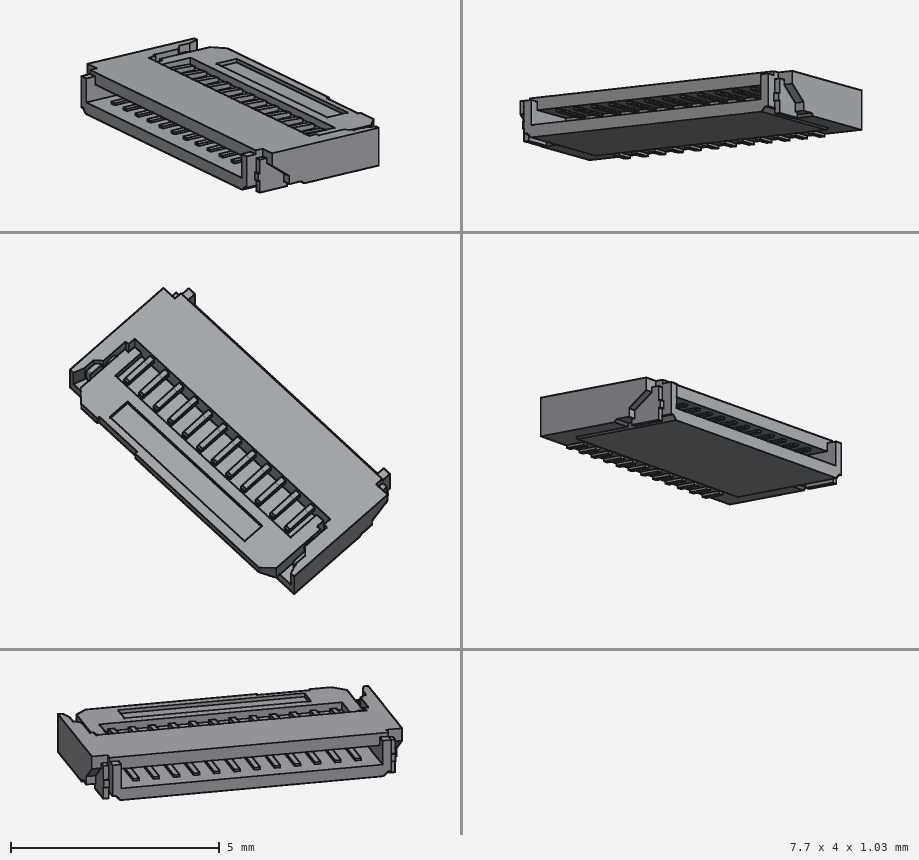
import cadquery as cq


LENGTH = 7.7
HEIGHT = 1.03
HOUSING_REAR_Y = 3.59
SHOULDER_FRONT_Y = 0.46
TOP_FRONT_Y = 0.26
SIDE_BASE_Z = 0.07

NOSE_LENGTH = 6.915
LIP_TOP_Z = 0.93
MOUTH_LENGTH = 6.48
MOUTH_DEPTH = 1.54
MOUTH_FLOOR_Z = 0.32
MOUTH_CEILING_Z = 0.72

KEEL_BASE_Z = 0.02
KEEL_BASE_LENGTH = 6.53
KEEL_REAR_Y = 2.925
CHAMFER_TOP_Z = 0.14

SHOULDER_RELIEF_REAR_Y = 0.97
SHOULDER_RELIEF_REAR_Z = 0.35
SHOULDER_RELIEF_FRONT_Z = 0.715
FOOT_RELIEF_BASE_Y = 1.4

POCKET_FRONT_Y = 1.9
POCKET_STEP_Y = 2.11
POCKET_FRONT_HALF_X = 3.36
POCKET_HALF_X = 3.46
FLARE_START_Y = 2.84
FLARE_HALF_X = 3.635
FLARE_FRONT_Y = 3.0
FLARE_REAR_Y = 3.3
FLARE_END_HALF_X = 3.735

TAB_INNER_X = 3.48
TAB_THICKNESS = 0.14
TAB_TOP_Z = 0.84
TAB_FOOT_REAR_Y = 1.06
NUB_REACH = 0.05
NUB_BASE_Z = 0.3
NUB_TOP_Z = 0.485
TAB_ARM_FRONT_Y = 2.77
TAB_ARM_REAR_Y = 3.265
TAB_ARM_ROUND = 0.055

CONTACT_COUNT = 12
CONTACT_PITCH = 0.5
CONTACT_WIDTH = 0.15
TAIL_FRONT_Y = 3.06
TAIL_REAR_Y = 3.56
ARM_TIP_Y = 0.44
LOWER_ARM_HEIGHT = 0.055
UPPER_ARM_DROP = 0.05
UPPER_ARM_LEAD = 0.04
SPRING_REAR_Y = 2.78
SPRING_NOSE_Y = 2.725
SPRING_FLAT_Y = 2.11
SPRING_NOSE_BASE = 0.09
SPRING_NOSE_TOP = 0.115
SPRING_TOP = 0.15

ACTUATOR_HALF_X = 3.36
ACTUATOR_REAR_Y = 4.0
ACTUATOR_FRONT_BASE_Y = 1.995
ACTUATOR_FRONT_TOP_Y = 2.02
ACTUATOR_BASE_Z = 0.415
ACTUATOR_TOP_Z = LIP_TOP_Z
REAR_BEVEL = 0.26
CORNER_CUT_X = 0.31
CORNER_CUT_Y = 0.29
FRONT_CORNER_X = 0.115
FRONT_CORNER_REAR_Y = 2.225
WINDOW_LENGTH = 6.02
WINDOW_REAR_Y = 2.89
WINDOW_FLOOR_Z = 0.74
RECESS_LENGTH = 4.63
RECESS_FRONT_Y = 3.16
RECESS_REAR_Y = 3.75
RECESS_DEPTH = 0.09
REAR_NOTCH_START_X = 1.19
REAR_NOTCH_END_X = 2.495
REAR_NOTCH_DEPTH = 0.07
PIN_RADIUS = 0.18
PIN_Y = 2.6

HALF_LENGTH = LENGTH / 2
HALF_NOSE = NOSE_LENGTH / 2


def box(x0, x1, y0, y1, z0, z1):
    """Axis-aligned block between two corners."""
    return cq.Workplane("XY").box(x1 - x0, y1 - y0, z1 - z0, centered=False).translate((x0, y0, z0))


def side_profile(points, x0, x1):
    """Outline given as (y, z) points, extruded from x0 to x1."""
    return cq.Workplane("YZ", origin=(x0, 0, 0)).polyline(points).close().extrude(x1 - x0)


def both_sides(shape):
    """The shape together with its mirror image across the middle plane."""
    return shape.union(shape.mirror("YZ"))


def housing_shell():
    """Main block, nose with chamfered keel, and lowered lip in front of the top plate."""
    block = box(-HALF_LENGTH, HALF_LENGTH, SHOULDER_FRONT_Y, HOUSING_REAR_Y, SIDE_BASE_Z, HEIGHT)
    half_keel = KEEL_BASE_LENGTH / 2
    chamfer = CHAMFER_TOP_Z - KEEL_BASE_Z
    nose_outline = [
        (-half_keel, KEEL_BASE_Z),
        (half_keel, KEEL_BASE_Z),
        (half_keel + chamfer, CHAMFER_TOP_Z),
        (HALF_NOSE, CHAMFER_TOP_Z),
        (HALF_NOSE, HEIGHT),
        (-HALF_NOSE, HEIGHT),
        (-HALF_NOSE, CHAMFER_TOP_Z),
        (-half_keel - chamfer, CHAMFER_TOP_Z),
    ]
    nose = cq.Workplane("XZ").polyline(nose_outline).close().extrude(-KEEL_REAR_Y)
    lip_step = box(-HALF_NOSE, HALF_NOSE, 0, TOP_FRONT_Y, LIP_TOP_Z, HEIGHT)
    return shoulder_reliefs(block).union(nose).cut(lip_step).cut(mouth())


def shoulder_reliefs(block):
    """Cut the sloped openings at the front of both shoulders, outside the nose."""
    foot_relief_top_y = FOOT_RELIEF_BASE_Y - (CHAMFER_TOP_Z - SIDE_BASE_Z)
    relief = side_profile(
        [
            (SHOULDER_FRONT_Y, SIDE_BASE_Z),
            (FOOT_RELIEF_BASE_Y, SIDE_BASE_Z),
            (foot_relief_top_y, CHAMFER_TOP_Z),
            (SHOULDER_RELIEF_REAR_Y, CHAMFER_TOP_Z),
            (SHOULDER_RELIEF_REAR_Y, SHOULDER_RELIEF_REAR_Z),
            (SHOULDER_FRONT_Y, SHOULDER_RELIEF_FRONT_Z),
        ],
        -HALF_LENGTH,
        HALF_LENGTH,
    )
    return block.cut(relief)


def mouth():
    """Cable slot, open upward in front of the top plate."""
    half = MOUTH_LENGTH / 2
    slot = box(-half, half, 0, MOUTH_DEPTH, MOUTH_FLOOR_Z, MOUTH_CEILING_Z)
    open_front = box(-half, half, 0, TOP_FRONT_Y, MOUTH_FLOOR_Z, HEIGHT)
    return slot.union(open_front)


def actuator_pocket():
    """Stepped opening in the top and rear, flared outward at the rear."""
    right_half = [
        (0, POCKET_FRONT_Y),
        (POCKET_FRONT_HALF_X, POCKET_FRONT_Y),
        (POCKET_FRONT_HALF_X, POCKET_STEP_Y),
        (POCKET_HALF_X, POCKET_STEP_Y),
        (POCKET_HALF_X, FLARE_START_Y),
        (FLARE_HALF_X, FLARE_FRONT_Y),
        (FLARE_HALF_X, FLARE_REAR_Y),
        (FLARE_END_HALF_X, HOUSING_REAR_Y),
        (0, HOUSING_REAR_Y),
    ]
    pocket_depth = HEIGHT - ACTUATOR_BASE_Z
    floor_plane = cq.Workplane("XY", origin=(0, 0, ACTUATOR_BASE_Z))
    return both_sides(floor_plane.polyline(right_half).close().extrude(pocket_depth))


def solder_tabs():
    """Upright plates beside the nose, with a front nub, and their rear arms in the flared pocket."""
    outer_x = TAB_INNER_X + TAB_THICKNESS
    plate = box(TAB_INNER_X, outer_x, TOP_FRONT_Y, TAB_FOOT_REAR_Y, 0, TAB_TOP_Z)
    nub = box(TAB_INNER_X, outer_x, TOP_FRONT_Y - NUB_REACH, TOP_FRONT_Y, NUB_BASE_Z, NUB_TOP_Z)
    arm = box(TAB_INNER_X, outer_x, TAB_ARM_FRONT_Y, TAB_ARM_REAR_Y, ACTUATOR_BASE_Z, TAB_TOP_Z)
    arm = arm.edges(">Y and >Z").fillet(TAB_ARM_ROUND)
    return both_sides(plate.union(nub).union(arm))


def contact(center_x):
    """Visible parts of one contact: mouth arms, spring over the actuator, and solder tail."""
    x0 = center_x - CONTACT_WIDTH / 2
    x1 = center_x + CONTACT_WIDTH / 2
    lower_arm = box(x0, x1, ARM_TIP_Y, MOUTH_DEPTH, MOUTH_FLOOR_Z, MOUTH_FLOOR_Z + LOWER_ARM_HEIGHT)
    upper_arm = side_profile(
        [
            (ARM_TIP_Y, MOUTH_CEILING_Z),
            (ARM_TIP_Y + UPPER_ARM_LEAD, MOUTH_CEILING_Z - UPPER_ARM_DROP),
            (MOUTH_DEPTH, MOUTH_CEILING_Z - UPPER_ARM_DROP),
            (MOUTH_DEPTH, MOUTH_CEILING_Z),
        ],
        x0,
        x1,
    )
    spring = side_profile(
        [
            (POCKET_FRONT_Y, WINDOW_FLOOR_Z),
            (SPRING_REAR_Y, WINDOW_FLOOR_Z),
            (SPRING_REAR_Y, WINDOW_FLOOR_Z + SPRING_NOSE_BASE),
            (SPRING_NOSE_Y, WINDOW_FLOOR_Z + SPRING_NOSE_TOP),
            (SPRING_FLAT_Y, WINDOW_FLOOR_Z + SPRING_TOP),
            (POCKET_FRONT_Y, WINDOW_FLOOR_Z + SPRING_TOP),
        ],
        x0,
        x1,
    )
    tail = box(x0, x1, TAIL_FRONT_Y, TAIL_REAR_Y, 0, SIDE_BASE_Z)
    return lower_arm.union(upper_arm).union(spring).union(tail)


def make_housing():
    body = housing_shell().cut(actuator_pocket()).union(solder_tabs())
    first_x = -CONTACT_PITCH * (CONTACT_COUNT - 1) / 2
    for index in range(CONTACT_COUNT):
        body = body.union(contact(first_x + index * CONTACT_PITCH))
    return body


def actuator_plate():
    """Lever plate with a slanted front edge and a bevel under the rear edge."""
    return side_profile(
        [
            (ACTUATOR_FRONT_BASE_Y, ACTUATOR_BASE_Z),
            (ACTUATOR_REAR_Y - REAR_BEVEL, ACTUATOR_BASE_Z),
            (ACTUATOR_REAR_Y, ACTUATOR_BASE_Z + REAR_BEVEL),
            (ACTUATOR_REAR_Y, ACTUATOR_TOP_Z),
            (ACTUATOR_FRONT_TOP_Y, ACTUATOR_TOP_Z),
        ],
        -ACTUATOR_HALF_X,
        ACTUATOR_HALF_X,
    )


def actuator_corner_cuts():
    """Sloped rear corners and stepped front corners."""
    rear_corner = [
        (ACTUATOR_HALF_X, ACTUATOR_REAR_Y),
        (ACTUATOR_HALF_X - CORNER_CUT_X, ACTUATOR_REAR_Y),
        (ACTUATOR_HALF_X, ACTUATOR_REAR_Y - CORNER_CUT_Y),
    ]
    rear_cut = cq.Workplane("XY").polyline(rear_corner).close().extrude(HEIGHT)
    front_cut = box(
        ACTUATOR_HALF_X - FRONT_CORNER_X, ACTUATOR_HALF_X,
        ACTUATOR_FRONT_BASE_Y, FRONT_CORNER_REAR_Y,
        0, HEIGHT,
    )
    return both_sides(rear_cut.union(front_cut))


def actuator_openings():
    """Contact window open to the front, shallow finger recess, and notch in the rear edge."""
    half_window = WINDOW_LENGTH / 2
    half_recess = RECESS_LENGTH / 2
    window = box(
        -half_window, half_window,
        ACTUATOR_FRONT_BASE_Y, WINDOW_REAR_Y,
        WINDOW_FLOOR_Z, HEIGHT,
    )
    recess = box(
        -half_recess, half_recess,
        RECESS_FRONT_Y, RECESS_REAR_Y,
        ACTUATOR_TOP_Z - RECESS_DEPTH, HEIGHT,
    )
    notch = box(
        REAR_NOTCH_START_X, REAR_NOTCH_END_X,
        ACTUATOR_REAR_Y - REAR_NOTCH_DEPTH, ACTUATOR_REAR_Y,
        0, HEIGHT,
    )
    return window.union(recess).union(notch)


def pivot_pins():
    """Round pins at both ends, reaching to the pocket walls."""
    pin_z = (ACTUATOR_BASE_Z + ACTUATOR_TOP_Z) / 2
    start = cq.Workplane("YZ", origin=(ACTUATOR_HALF_X, PIN_Y, pin_z))
    return both_sides(start.circle(PIN_RADIUS).extrude(POCKET_HALF_X - ACTUATOR_HALF_X))


def make_actuator():
    plate = actuator_plate().cut(actuator_corner_cuts()).cut(actuator_openings())
    return plate.union(pivot_pins())


housing = make_housing()
actuator = make_actuator()
result = cq.Compound.makeCompound([housing.solids().val(), actuator.solids().val()])